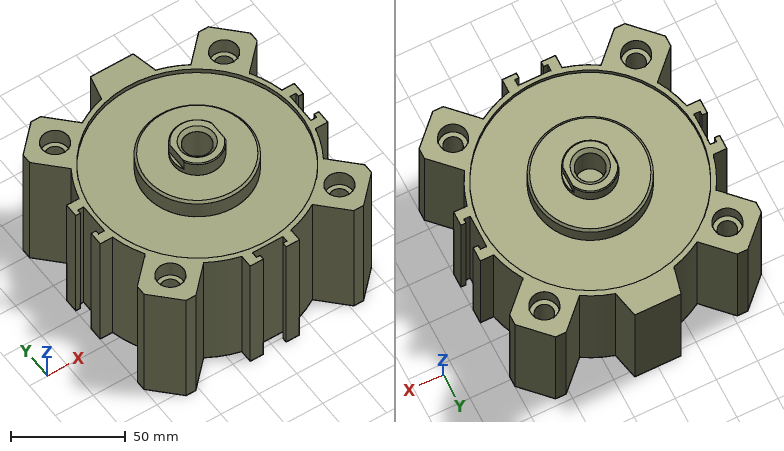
import cadquery as cq
import math

body_width = 120.0
half_width = body_width / 2
housing_height = 67.0
barrel_diameter = 110.0
recess_diameter = 105.0
recess_depth = 2.5

lug_width = 26.0
lug_reach = 75.5
lug_count = 4
first_lug_angle = 45
screw_circle_radius = 63.0
screw_diameter = 9.0
counterbore_diameter = 13.5
counterbore_depth = 8.5

rail_angles = (0, 180, 270)
rail_width = lug_width
slot_mouth_width = 12.0
slot_inner_width = 16.0
slot_lip = 2.5
slot_depth = 5.5

body_length = 126.0
block_reach = body_length - half_width
block_tip_width = 22.5
block_taper_angle = 13

boss_diameter = 55.0
boss_top = 74.6
boss_chamfer = 1.1

rod_diameter = 25.0
rod_top = 82.5
rod_bottom = housing_height / 2
rod_chamfer = 0.5
flat_spacing = 21.9
flat_height = 5.4
socket_diameter = 13.9
socket_mouth_diameter = 17.5
socket_mouth_angle = 90
socket_depth = 18.9


def corner_lugs():
    """Two diagonal bars whose ends form four lugs, trimmed to the square envelope."""
    bars = cq.Workplane("XY")
    for angle in (first_lug_angle, first_lug_angle + 90):
        bar = cq.Workplane("XY").rect(2 * lug_reach, lug_width).extrude(housing_height)
        bars = bars.add(bar.rotate((0, 0, 0), (0, 0, 1), angle))
    envelope = cq.Workplane("XY").rect(body_width, body_width).extrude(housing_height)
    return bars.combine().intersect(envelope)


def slot_rail(angle):
    """Rail from the axis to one side, before its T-slot is cut."""
    rail = cq.Workplane("XY").center(half_width / 2, 0).rect(half_width, rail_width)
    return rail.extrude(housing_height).rotate((0, 0, 0), (0, 0, 1), angle)


def t_slot(angle):
    """T-shaped cutter: a narrow mouth at the side face and a wider channel behind it."""
    lip_x = half_width - slot_lip
    floor_x = half_width - slot_depth
    mouth = (
        cq.Workplane("XY")
        .center((floor_x + half_width) / 2, 0)
        .rect(slot_depth, slot_mouth_width)
        .extrude(housing_height)
    )
    channel = (
        cq.Workplane("XY")
        .center((floor_x + lip_x) / 2, 0)
        .rect(lip_x - floor_x, slot_inner_width)
        .extrude(housing_height)
    )
    return mouth.union(channel).rotate((0, 0, 0), (0, 0, 1), angle)


def side_block():
    """Block on the +Y side that widens towards the barrel."""
    root_y = recess_diameter / 2
    tip_x = block_tip_width / 2
    root_x = tip_x + (block_reach - root_y) * math.tan(math.radians(block_taper_angle))
    outline = [
        (-root_x, root_y),
        (-tip_x, block_reach),
        (tip_x, block_reach),
        (root_x, root_y),
    ]
    return cq.Workplane("XY").polyline(outline).close().extrude(housing_height)


def make_housing():
    housing = cq.Workplane("XY").circle(barrel_diameter / 2).extrude(housing_height)
    housing = housing.union(corner_lugs()).union(side_block())

    for angle in rail_angles:
        housing = housing.union(slot_rail(angle))
    for angle in rail_angles:
        housing = housing.cut(t_slot(angle))

    housing = (
        housing.faces(">Z").workplane(origin=(0, 0, housing_height))
        .circle(recess_diameter / 2)
        .cutBlind(-recess_depth)
    )

    housing = (
        housing.faces(">Z").workplane(origin=(0, 0, housing_height))
        .polarArray(screw_circle_radius, first_lug_angle, 360, lug_count)
        .cboreHole(screw_diameter, counterbore_diameter, counterbore_depth)
    )

    recess_floor = housing_height - recess_depth
    boss = (
        cq.Workplane("XY")
        .workplane(offset=recess_floor)
        .circle(boss_diameter / 2)
        .extrude(boss_top - recess_floor)
        .faces(">Z")
        .chamfer(boss_chamfer)
    )
    housing = housing.union(boss)

    rod_bore = (
        cq.Workplane("XY")
        .workplane(offset=rod_bottom)
        .circle(rod_diameter / 2)
        .extrude(boss_top - rod_bottom)
    )
    return housing.cut(rod_bore)


def make_rod():
    rod = (
        cq.Workplane("XY")
        .workplane(offset=rod_bottom)
        .circle(rod_diameter / 2)
        .extrude(rod_top - rod_bottom)
        .faces(">Z")
        .chamfer(rod_chamfer)
    )

    for side in (-1, 1):
        flat_cutter = (
            cq.Workplane("XY")
            .workplane(offset=rod_top - flat_height)
            .center(side * (flat_spacing + rod_diameter) / 2, 0)
            .rect(rod_diameter, rod_diameter)
            .extrude(flat_height)
        )
        rod = rod.cut(flat_cutter)

    return (
        rod.faces(">Z").workplane(origin=(0, 0, rod_top))
        .cskHole(socket_diameter, socket_mouth_diameter, socket_mouth_angle, socket_depth)
    )


housing = make_housing()
piston_rod = make_rod()
result = cq.Compound.makeCompound([housing.val(), piston_rod.val()])